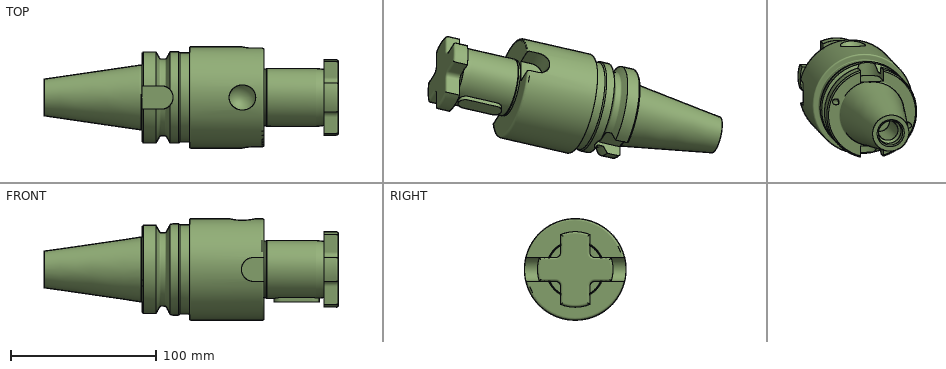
import cadquery as cq
import math


taper_length = 65.4
gauge_diameter = 44.45
taper_ratio = 7 / 24
gauge_radius = gauge_diameter / 2
taper_small_radius = (gauge_diameter - taper_length * taper_ratio) / 2
taper_overrun = 0.5
taper_large_radius = gauge_radius + taper_overrun * taper_ratio / 2
taper_root_radius = 0.8

flange_start = taper_length + 2.0
flange_end = taper_length + 27.0
flange_radius = 31.5
flange_chamfer = 1.0
grip_groove_center = taper_length + 16.4
grip_groove_width = 9.8
grip_groove_radius = 26.5
grip_groove_half_angle = math.radians(30)
grip_groove_corner_radius = 1.0
neck_radius = 30.8
neck_step_length = 1.0
neck_corner_radius = 0.5

keyway_width = 16.1
keyway_floor = 22.5
keyway_end = taper_length + 23.3

coolant_hole_radius = 2.0
coolant_hole_depth = 12.0
coolant_hole_tilt = math.radians(30)
coolant_circle_radius = 27.0
coolant_angle = math.radians(20)

body_radius = 35.0
body_start = 100.1
body_end = taper_length + 86.0
body_front_radius = 1.0
body_back_radius = 1.6

drive_slot_width = 16.4
drive_slot_floor = 21.0
drive_slot_start = 135.7

dimple_x = 136.4
dimple_sphere_radius = 10.0
dimple_sphere_height = 39.0

pilot_radius = 20.0
pilot_length = 41.0
pilot_end = body_end + pilot_length
relief_radius = pilot_radius - 0.4
relief_length = 1.2
relief_ramp = 0.6
lead_length = 5.2
lead_drop = 0.4
pilot_end_chamfer_length = 1.5
pilot_end_chamfer_drop = 0.3

bore_mouth_radius = 9.5
bore_pilot_radius = 8.5
bore_thread_radius = 6.9
bore_mouth_chamfer = 0.6
bore_pilot_depth = 6.8
bore_cone_length = 2.8
bore_depth = 40.0

key_length = 31.4
key_width = 10.0
key_height = 8.0
key_protrusion = 2.5
key_start = body_end + 6.6
key_outer = pilot_radius + key_protrusion

head_length = 10.0
head_radius = 26.0
horizontal_lobe_width = drive_slot_width
vertical_lobe_width = 20.0
lobe_corner_radius = 3.6
head_edge_radius = 1.6
shank_radius = 10.0
shank_length = 35.0


def x_cylinder(radius, start, length):
    """Cylinder on the holder axis."""
    return cq.Workplane("YZ", origin=(start, 0, 0)).circle(radius).extrude(length)


def turned(points):
    """Solid of revolution about X from (x, radius) points, closed along the axis."""
    profile = [(points[0][0], 0)] + points + [(points[-1][0], 0)]
    return cq.Workplane("XY").polyline(profile).close().revolve(360, (0, 0, 0), (1, 0, 0))


def grip_groove():
    """V-shaped ring with a flat, round-cornered bottom, to be cut from the flange."""
    slope_length = (flange_radius - grip_groove_radius) * math.tan(grip_groove_half_angle)
    half_mouth = grip_groove_width / 2
    half_bottom = half_mouth - slope_length
    profile = [
        (grip_groove_center - half_mouth, flange_radius),
        (grip_groove_center - half_bottom, grip_groove_radius),
        (grip_groove_center + half_bottom, grip_groove_radius),
        (grip_groove_center + half_mouth, flange_radius),
    ]
    ring = cq.Workplane("XY").polyline(profile).close().revolve(360, (0, 0, 0), (1, 0, 0))
    smallest_radius = cq.selectors.RadiusNthSelector(0)
    return ring.edges("%CIRCLE").edges(smallest_radius).fillet(grip_groove_corner_radius)


def taper_and_flange():
    """Taper, gripper flange and neck, with hollow fillets at the flange face and at the body."""
    diagonal = 1 - math.sqrt(0.5)
    root_middle = taper_root_radius * diagonal
    neck_middle = neck_corner_radius * diagonal
    profile = (
        cq.Workplane("XY")
        .moveTo(0, 0)
        .lineTo(0, taper_small_radius)
        .lineTo(taper_length + taper_overrun, taper_large_radius)
        .lineTo(flange_start - taper_root_radius, taper_large_radius)
        .threePointArc(
            (flange_start - root_middle, taper_large_radius + root_middle),
            (flange_start, taper_large_radius + taper_root_radius),
        )
        .lineTo(flange_start, flange_radius - flange_chamfer)
        .lineTo(flange_start + flange_chamfer, flange_radius)
        .lineTo(flange_end, flange_radius)
        .lineTo(flange_end + neck_step_length, neck_radius)
        .lineTo(body_start - neck_corner_radius, neck_radius)
        .threePointArc(
            (body_start - neck_middle, neck_radius + neck_middle),
            (body_start, neck_radius + neck_corner_radius),
        )
        .lineTo(body_start, 0)
        .close()
    )
    return profile.revolve(360, (0, 0, 0), (1, 0, 0))


def large_body():
    body = x_cylinder(body_radius, body_start, body_end - body_start)
    body = body.faces("<X").edges().fillet(body_front_radius)
    return body.faces(">X").edges().fillet(body_back_radius)


def pilot():
    """Cutter pilot with a relief at the body face and a slightly tapered lead at its end."""
    lead_end_radius = pilot_radius - lead_drop
    return turned([
        (body_end, relief_radius),
        (body_end + relief_length, relief_radius),
        (body_end + relief_length + relief_ramp, pilot_radius),
        (pilot_end - lead_length, pilot_radius),
        (pilot_end - pilot_end_chamfer_length, lead_end_radius),
        (pilot_end, lead_end_radius - pilot_end_chamfer_drop),
    ])


def round_ended_outline(plane, open_x, round_x, width):
    """Slot outline along X: square at open_x, half round at round_x."""
    half = width / 2
    center = round_x - math.copysign(half, round_x - open_x)
    return (
        plane.moveTo(open_x, -half)
        .lineTo(center, -half)
        .threePointArc((round_x, 0), (center, half))
        .lineTo(open_x, half)
        .close()
    )


def keyway(side):
    """Gripper keyway, open towards the taper; side is +1 for +Z, -1 for -Z."""
    floor = cq.Workplane("XY", origin=(0, 0, side * keyway_floor))
    outline = round_ended_outline(floor, taper_length, keyway_end, keyway_width)
    return outline.extrude(side * (flange_radius - keyway_floor))


def drive_slot(side):
    """Driving slot, open towards the pilot; side is +1 for +Y, -1 for -Y."""
    floor = cq.Workplane("XZ", origin=(0, side * drive_slot_floor, 0))
    outline = round_ended_outline(floor, body_end, drive_slot_start, drive_slot_width)
    return outline.extrude(-side * (body_radius - drive_slot_floor))


def coolant_hole(side):
    """Blind hole in the flange face, tilted towards the axis; side is +1 for +Y, -1 for -Y."""
    y = side * coolant_circle_radius * math.cos(coolant_angle)
    z = side * coolant_circle_radius * math.sin(coolant_angle)
    inward = math.sin(coolant_hole_tilt)
    direction = cq.Vector(
        math.cos(coolant_hole_tilt),
        -side * inward * math.cos(coolant_angle),
        -side * inward * math.sin(coolant_angle),
    )
    mouth = cq.Vector(flange_start, y, z)
    lead_in = direction * (2 * coolant_hole_radius)
    length = coolant_hole_depth + lead_in.Length
    return cq.Workplane(cq.Solid.makeCylinder(coolant_hole_radius, length, mouth - lead_in, direction))


def pull_stud_bore():
    return turned([
        (0, bore_mouth_radius),
        (bore_mouth_chamfer, bore_pilot_radius),
        (bore_pilot_depth, bore_pilot_radius),
        (bore_pilot_depth + bore_cone_length, bore_thread_radius),
        (bore_depth, bore_thread_radius),
    ])


def dimple():
    return cq.Workplane("XY").sphere(dimple_sphere_radius).translate((dimple_x, 0, dimple_sphere_height))


def screw_shank():
    return x_cylinder(shank_radius, pilot_end - shank_length, shank_length)


def make_holder(key):
    """Holder with the pocket of the key and the hole of the screw already cut."""
    holder = taper_and_flange().cut(grip_groove()).union(large_body()).union(pilot())
    holder = holder.cut(pull_stud_bore()).cut(dimple())
    for side in (1, -1):
        holder = holder.cut(keyway(side)).cut(drive_slot(side)).cut(coolant_hole(side))
    return holder.cut(key).cut(screw_shank())


def make_key():
    return (
        cq.Workplane("XY", origin=(key_start + key_length / 2, 0, -key_outer))
        .slot2D(key_length, key_width)
        .extrude(key_height)
    )


def lobe_pair(size_y, size_z):
    return cq.Workplane("YZ", origin=(pilot_end, 0, 0)).rect(size_y, size_z).extrude(head_length)


def make_screw():
    """Clamping screw: cross-shaped head with round lobe tips and a plain shank."""
    span = 2 * head_radius
    cross = lobe_pair(span, horizontal_lobe_width).union(lobe_pair(vertical_lobe_width, span))
    inner_corners = cq.selectors.BoxSelector(
        (pilot_end, -vertical_lobe_width, -vertical_lobe_width),
        (pilot_end + head_length, vertical_lobe_width, vertical_lobe_width),
    )
    cross = cross.edges("|X").edges(inner_corners).fillet(lobe_corner_radius)
    head = cross.intersect(x_cylinder(head_radius, pilot_end, head_length))
    head = head.faces(">X").edges().fillet(head_edge_radius)
    return head.union(screw_shank())


key = make_key()
screw = make_screw()
holder = make_holder(key)

result = cq.Compound.makeCompound([body.solids().val() for body in (holder, key, screw)])